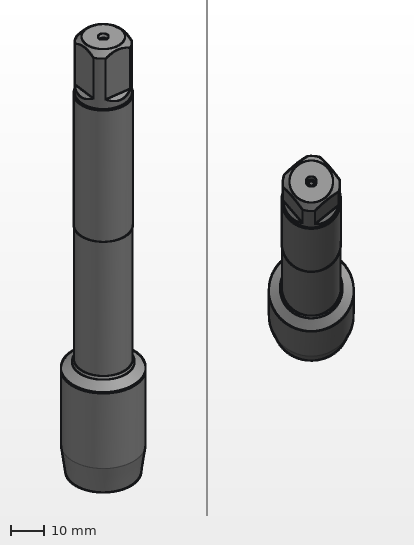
import cadquery as cq
import math

total_length = 160.0

head_diameter = 25.6
lead_length = 9.8
lead_tip_diameter = 23.0
head_length = 37.5

shoulder_land = 0.5
shoulder_top_diameter = 18.9
shoulder_top = 40.2
neck_start = 41.1

neck_diameter = 17.8
shank_diameter = 18.0
shank_start = 90.5
shank_end = 139.4
shank_chamfer = 0.3

square_stock_diameter = 17.3
across_flats = 14.5
flat_length = 17.1
run_out_angle = 45.0
cutter_clearance = 0.2
top_face_diameter = 13.1

center_diameter = 2.0
center_mouth_diameter = 3.2
center_depth = 3.2
center_cone_angle = 60.0
drill_point_angle = 120.0


def cone_height(large_diameter, small_diameter, full_angle):
    """Height of a cone section with the given full angle in degrees."""
    return (large_diameter - small_diameter) / 2 / math.tan(math.radians(full_angle / 2))


def make_threaded_head():
    """Cylinder whose lower end narrows to form the lead."""
    radius = head_diameter / 2
    profile = (
        cq.Workplane("XZ")
        .lineTo(lead_tip_diameter / 2, 0)
        .lineTo(radius, lead_length)
        .lineTo(radius, head_length)
        .lineTo(0, head_length)
        .close()
    )
    return profile.revolve(360, (0, 0, 0), (0, 1, 0))


def make_turned_shank():
    """Shoulder, neck, shank and round stock for the square."""
    head_radius = head_diameter / 2
    shank_radius = shank_diameter / 2
    neck_radius = neck_diameter / 2
    stock_radius = square_stock_diameter / 2
    top_radius = top_face_diameter / 2
    top_chamfer = stock_radius - top_radius
    profile = (
        cq.Workplane("XZ")
        .moveTo(0, head_length)
        .lineTo(head_radius, head_length)
        .lineTo(head_radius, head_length + shoulder_land)
        .lineTo(shoulder_top_diameter / 2, shoulder_top)
        .lineTo(neck_radius, neck_start)
        .lineTo(neck_radius, shank_start)
        .lineTo(shank_radius, shank_start + shank_radius - neck_radius)
        .lineTo(shank_radius, shank_end - shank_chamfer)
        .lineTo(stock_radius, shank_end)
        .lineTo(stock_radius, total_length - top_chamfer)
        .lineTo(top_radius, total_length)
        .lineTo(0, total_length)
        .close()
    )
    return profile.revolve(360, (0, 0, 0), (0, 1, 0))


def make_flat_cutter():
    """Cutter for the flat on +X, with a sloping run-out at its lower end."""
    flat_x = across_flats / 2
    flat_bottom = total_length - flat_length
    outer_x = square_stock_diameter / 2 + cutter_clearance
    outer_bottom = flat_bottom - (outer_x - flat_x) * math.tan(math.radians(run_out_angle))
    return (
        cq.Workplane("XZ")
        .moveTo(flat_x, total_length)
        .lineTo(flat_x, flat_bottom)
        .lineTo(outer_x, outer_bottom)
        .lineTo(outer_x, total_length)
        .close()
        .extrude(square_stock_diameter / 2, both=True)
    )


def make_center_hole():
    """Countersunk center hole with a drill point."""
    mouth_depth = cone_height(center_mouth_diameter, center_diameter, center_cone_angle)
    point_depth = cone_height(center_diameter, 0, drill_point_angle)
    radius = center_diameter / 2
    profile = (
        cq.Workplane("XZ")
        .moveTo(0, total_length)
        .lineTo(center_mouth_diameter / 2, total_length)
        .lineTo(radius, total_length - mouth_depth)
        .lineTo(radius, total_length - center_depth)
        .lineTo(0, total_length - center_depth - point_depth)
        .close()
    )
    return profile.revolve(360, (0, 0, 0), (0, 1, 0))


def make_shank():
    """Turned shank with four flats and the center hole."""
    shank = make_turned_shank()
    flat_cutter = make_flat_cutter()
    for angle in (0, 90, 180, 270):
        shank = shank.cut(flat_cutter.rotate((0, 0, 0), (0, 0, 1), angle))
    return shank.cut(make_center_hole())


threaded_head = make_threaded_head()
shank = make_shank()

result = cq.Compound.makeCompound([threaded_head.val(), shank.val()])